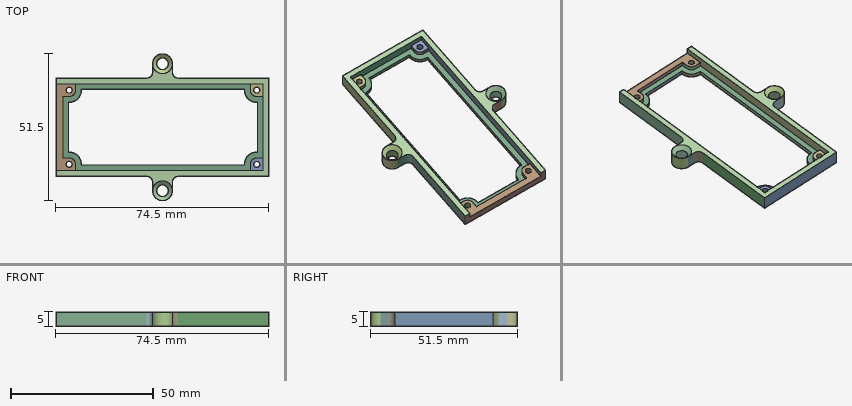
import cadquery as cq

frame_length = 74.5
frame_width = 34.5
frame_height = 5.0
side_wall = 2.0
open_end_wall = 2.3

ledge_height = 1.5
post_height = 3.0
ledge_width = 2.0

hole_diameter = 2.0
hole_offset = 2.2
post_radius = 2.2
corner_ledge_radius = 4.3

lug_diameter = 7.0
lug_offset = 5.0
lug_fillet = 2.0
lug_hole_diameter = 4.0
countersink_diameter = 6.9
countersink_angle = 90

x_min = -frame_length / 2 + open_end_wall
x_max = frame_length / 2 - side_wall
y_max = frame_width / 2 - side_wall
overlap = side_wall / 2

corners = [(x_wall, y_wall, x_dir, y_dir)
           for x_wall, x_dir in ((x_min, 1), (x_max, -1))
           for y_wall, y_dir in ((-y_max, 1), (y_max, -1))]


def block(x0, x1, y0, y1, z0, z1):
    """Box between the given limits, in any order along X and Y."""
    return (cq.Workplane("XY", origin=((x0 + x1) / 2, (y0 + y1) / 2, z0))
            .rect(abs(x1 - x0), abs(y1 - y0)).extrude(z1 - z0))


def cylinder(x, y, diameter, height):
    return cq.Workplane("XY").center(x, y).circle(diameter / 2).extrude(height)


def hole_centre(x_wall, y_wall, x_dir, y_dir):
    return x_wall + x_dir * hole_offset, y_wall + y_dir * hole_offset


def make_frame():
    """Rectangular frame with an inner ledge and a lowered wall at -X."""
    frame = block(-frame_length / 2, frame_length / 2,
                  -frame_width / 2, frame_width / 2, 0, frame_height)
    pocket = block(x_min, x_max, -y_max, y_max, ledge_height, frame_height)
    window = block(x_min + ledge_width, x_max - ledge_width,
                   -y_max + ledge_width, y_max - ledge_width, 0, frame_height)
    end_opening = block(-frame_length / 2, x_min, -y_max, y_max, post_height, frame_height)
    return frame.cut(pocket).cut(window).cut(end_opening)


def make_corner(x_wall, y_wall, x_dir, y_dir):
    """Widened ledge carrying a raised post with one rounded corner."""
    x, y = hole_centre(x_wall, y_wall, x_dir, y_dir)
    pocket_corner = block(x_wall, x + x_dir * corner_ledge_radius,
                          y_wall, y + y_dir * corner_ledge_radius, 0, ledge_height)
    ledge = cylinder(x, y, 2 * corner_ledge_radius, ledge_height).intersect(pocket_corner)
    post = block(x_wall - x_dir * overlap, x + x_dir * post_radius,
                 y_wall - y_dir * overlap, y + y_dir * post_radius, 0, post_height)
    round_edge = cq.selectors.NearestToPointSelector(
        (x + x_dir * post_radius, y + y_dir * post_radius, post_height / 2))
    return ledge.union(post.edges("|Z").edges(round_edge).fillet(post_radius))


def make_lug(y_dir):
    """Round-ended lug blended into the long side, with a countersunk hole."""
    edge = y_dir * frame_width / 2
    centre = edge + y_dir * lug_offset
    radius = lug_diameter / 2
    root = radius + lug_fillet
    inner = edge - y_dir * overlap
    blend_end = edge + y_dir * lug_fillet
    lug = cylinder(0, centre, lug_diameter, frame_height)
    lug = lug.union(block(-radius, radius, inner, centre, 0, frame_height))
    lug = lug.union(block(-root, root, inner, blend_end, 0, frame_height))
    for x in (-root, root):
        lug = lug.cut(cylinder(x, blend_end, 2 * lug_fillet, frame_height))
    return (lug.faces(">Z").workplane(origin=(0, centre, 0))
            .cskHole(lug_hole_diameter, countersink_diameter, countersink_angle))


result = make_frame()
for corner in corners:
    result = result.union(make_corner(*corner))
for corner in corners:
    result = result.cut(cylinder(*hole_centre(*corner), hole_diameter, post_height))
for direction in (-1, 1):
    result = result.union(make_lug(direction))